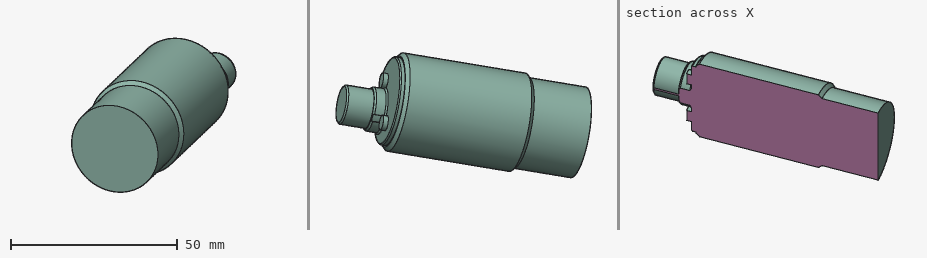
import cadquery as cq
import math

length = 72.5

nose_radius = 13.85
nose_length = 18.0
body_radius = 15.0
body_end = 58.5
body_bevel = body_radius - nose_radius

cap_radius = 13.45
cap_end = 60.0
cap_chamfer = 0.4

connector_offset = 6.0
connector_radius = 6.0
connector_chamfer = 0.5
collar_radius = 6.75
collar_end = 64.1
collar_chamfer_length = 0.6
collar_chamfer_depth = 0.4
flare_height = 0.5

keyway_floor_radius = 6.5
keyway_start_angle = 46.0
keyway_end_angle = 66.0

screw_head_radius = 2.3
screw_head_height = 1.5
screw_offset = 0.9
screw_height = 7.5


def revolved(profile, axis_x=0.0):
    """Revolve (radius, Y) points about an axis parallel to Y at X = axis_x."""
    points = [(axis_x + radius, y) for radius, y in profile]
    return cq.Workplane("XY").polyline(points).close().revolve(360, (axis_x, 0), (axis_x, 1))


def along_y(start_y):
    """Sketch plane facing +Y, whose local axes are -X and +Z."""
    return cq.Workplane(cq.Plane(origin=(0, start_y, 0), xDir=(-1, 0, 0), normal=(0, 1, 0)))


def make_body():
    return revolved([
        (0, 0),
        (nose_radius, 0),
        (nose_radius, nose_length),
        (body_radius, nose_length + body_bevel),
        (body_radius, body_end - body_bevel),
        (body_radius - body_bevel, body_end),
        (cap_radius, body_end),
        (cap_radius, cap_end - cap_chamfer),
        (cap_radius - cap_chamfer, cap_end),
        (0, cap_end),
    ])


def make_connector():
    return revolved([
        (0, body_end),
        (collar_radius, body_end),
        (collar_radius + flare_height, cap_end),
        (collar_radius, cap_end + flare_height),
        (collar_radius, collar_end - collar_chamfer_length),
        (collar_radius - collar_chamfer_depth, collar_end),
        (connector_radius, collar_end),
        (connector_radius, length - connector_chamfer),
        (connector_radius - connector_chamfer, length),
        (0, length),
    ], connector_offset)


def make_keyway():
    """Annular sector that opens the collar down to the keyway floor."""
    outer_radius = collar_radius + flare_height

    def polar(radius, angle):
        turn = math.radians(angle)
        return (radius * math.cos(turn) - connector_offset, -radius * math.sin(turn))

    middle_angle = (keyway_start_angle + keyway_end_angle) / 2
    return (
        along_y(cap_end + flare_height)
        .moveTo(*polar(keyway_floor_radius, keyway_start_angle))
        .threePointArc(
            polar(keyway_floor_radius, middle_angle),
            polar(keyway_floor_radius, keyway_end_angle),
        )
        .lineTo(*polar(outer_radius, keyway_end_angle))
        .threePointArc(
            polar(outer_radius, middle_angle),
            polar(outer_radius, keyway_start_angle),
        )
        .close()
        .extrude(collar_end - cap_end - flare_height)
    )


def make_screw_heads():
    centres = [(-screw_offset, side * screw_height) for side in (1, -1)]
    return (
        along_y(body_end)
        .pushPoints(centres)
        .circle(screw_head_radius)
        .extrude(cap_end + screw_head_height - body_end)
    )


connector = make_connector().cut(make_keyway())
result = make_body().union(connector).union(make_screw_heads())